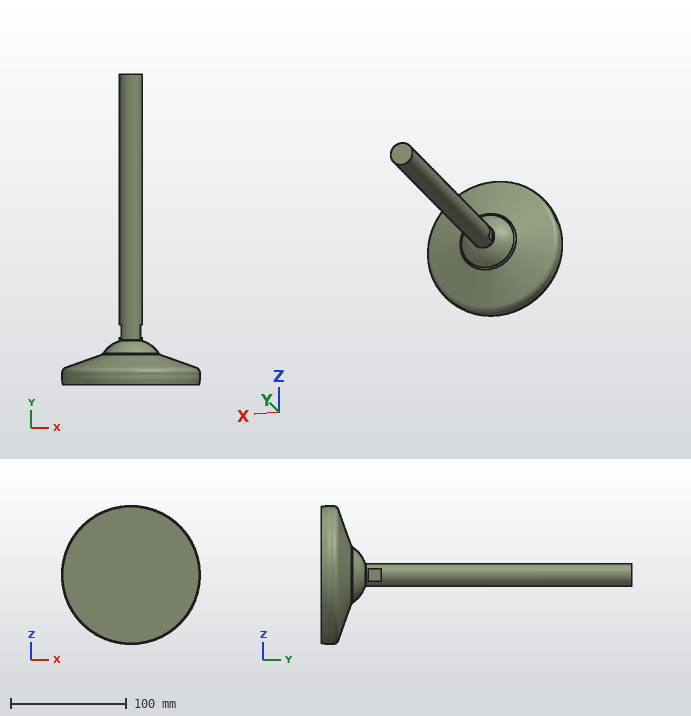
import cadquery as cq

total_length = 269.0
foot_radius = 60.0
shaft_radius = 10.0
base_y = -total_length / 2
shaft_end_y = total_length / 2

base_radius = 59.2
widest_height = 5.6
shoulder_radius = 59.7
shoulder_height = 9.0
cone_start_radius = 56.5
cone_start_height = 15.0
cone_end_radius = 25.5
cone_end_height = 26.0
seat_radius = 24.0
seat_height = 27.5

dome_top_height = 38.2
dome_top_radius = 9.7
dome_mid_radius = 17.8
dome_mid_height = 34.2
neck_top_height = 39.0

flat_width = 17.0
flat_bottom_height = 40.5
flat_top_height = 52.0


def revolve_about_y(profile):
    """Turn a closed half profile (radius along X) about the Y axis."""
    return profile.close().revolve(360, (0, 0, 0), (0, 1, 0))


def make_foot():
    """Round foot with a rounded shoulder, a conical top and a flat seat."""
    profile = (
        cq.Workplane("XY")
        .moveTo(0, base_y + seat_height)
        .lineTo(seat_radius, base_y + seat_height)
        .lineTo(cone_end_radius, base_y + cone_end_height)
        .lineTo(cone_start_radius, base_y + cone_start_height)
        .tangentArcPoint((shoulder_radius, base_y + shoulder_height), relative=False)
        .lineTo(foot_radius, base_y + widest_height)
        .lineTo(base_radius, base_y)
        .lineTo(0, base_y)
    )
    return revolve_about_y(profile)


def make_flat_cutter(side):
    """Block that removes the shaft beyond one wrench flat; side is -1 or 1."""
    depth = shaft_radius
    return cq.Workplane("XY").box(
        depth, flat_top_height - flat_bottom_height, 2 * shaft_radius
    ).translate((
        side * (flat_width + depth) / 2,
        base_y + (flat_top_height + flat_bottom_height) / 2,
        0,
    ))


def make_stem():
    """Shaft and domed joint in one piece, resting on the seat of the foot."""
    profile = (
        cq.Workplane("XY")
        .moveTo(0, base_y + seat_height)
        .lineTo(seat_radius, base_y + seat_height)
        .threePointArc(
            (dome_mid_radius, base_y + dome_mid_height),
            (dome_top_radius, base_y + dome_top_height),
        )
        .lineTo(shaft_radius, base_y + neck_top_height)
        .lineTo(shaft_radius, shaft_end_y)
        .lineTo(0, shaft_end_y)
    )
    stem = revolve_about_y(profile)
    for side in (-1, 1):
        stem = stem.cut(make_flat_cutter(side))
    return stem


foot = make_foot()
stem = make_stem()
result = cq.Compound.makeCompound([foot.val(), stem.val()])